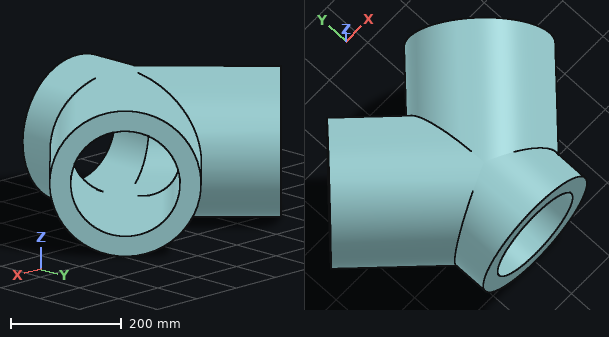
import cadquery as cq
import math

overall_width = 588.0
outer_diameter = 273.0
bore_diameter = 197.0
inlet_length = 127.0
branch_angle = 45.0

outer_radius = outer_diameter / 2
angle = math.radians(branch_angle)
branch_length = (overall_width / 2 - outer_radius * math.cos(angle)) / math.sin(angle)

legs = [
    (cq.Vector(0, -1, 0), inlet_length),
    (cq.Vector(-math.sin(angle), math.cos(angle), 0), branch_length),
    (cq.Vector(math.sin(angle), math.cos(angle), 0), branch_length),
]


def joined_cylinders(diameter):
    """Join one cylinder per leg, all starting at the junction."""
    joined = cq.Workplane("XY")
    for direction, length in legs:
        cylinder = cq.Solid.makeCylinder(diameter / 2, length, cq.Vector(0, 0, 0), direction)
        joined = joined.add(cylinder)
    return joined.combine()


result = joined_cylinders(outer_diameter).cut(joined_cylinders(bore_diameter))